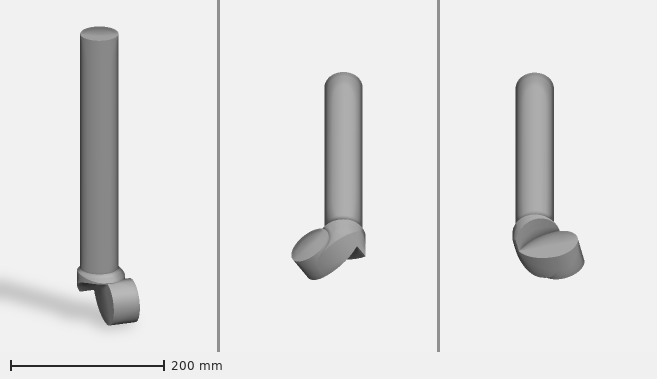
import cadquery as cq
import math

total_height = 398.0
tube_radius = 25.0
body_radius = 29.0
housing_offset = 29.02
housing_length = 36.0
dome_height = 3.22
shoulder_shift_x = 4.2
shoulder_shift_y = 3.4
tube_base_z = 69.0
collar_edge_z = 65.0
flare_slope = 1.35

housing_z = body_radius
elbow_radius = housing_offset + body_radius
elbow_rise = elbow_radius - body_radius
tip_x = housing_offset - math.sqrt(elbow_radius**2 - elbow_rise**2)
shoulder_reach_x = body_radius + shoulder_shift_x
shoulder_reach_y = body_radius + shoulder_shift_y
diagonal = math.sqrt(0.5)


def make_tube():
    """Plain round tube standing on the collar chamfer."""
    return cq.Workplane("XY").workplane(offset=tube_base_z).circle(tube_radius).extrude(
        total_height - tube_base_z
    )


def make_shoulder():
    """Upright body: round on the -X -Y side, widened towards +X and +Y, coned at the top."""
    corner_mid_x = shoulder_shift_x + body_radius * diagonal
    corner_mid_y = shoulder_shift_y + body_radius * diagonal
    outline = (
        cq.Workplane("XY")
        .moveTo(-body_radius, 0)
        .threePointArc((-body_radius * diagonal, -body_radius * diagonal), (0, -body_radius))
        .ellipseArc(shoulder_reach_x, body_radius, 270, 360, startAtCurrent=True)
        .lineTo(shoulder_reach_x, shoulder_shift_y)
        .threePointArc((corner_mid_x, corner_mid_y), (shoulder_shift_x, shoulder_reach_y))
        .lineTo(0, shoulder_reach_y)
        .ellipseArc(body_radius, shoulder_reach_y, 90, 180, startAtCurrent=True)
        .close()
        .extrude(tube_base_z)
    )
    flare_width = shoulder_shift_x + shoulder_shift_y
    flare_radius = body_radius + flare_width
    envelope = (
        cq.Workplane("XZ")
        .lineTo(flare_radius, 0)
        .lineTo(flare_radius, collar_edge_z - flare_width * flare_slope)
        .lineTo(body_radius, collar_edge_z)
        .lineTo(tube_radius, tube_base_z)
        .lineTo(0, tube_base_z)
        .close()
        .revolve(360, (0, 0, 0), (0, 1, 0))
    )
    return outline.intersect(envelope)


def make_teardrop(start_y, end_y):
    """Joint face outline (two elbow arcs and the round housing end) swept between two Y values."""
    mid_x = (tip_x + housing_offset) / 2
    mid_drop = math.sqrt(elbow_radius**2 - (housing_offset - mid_x) ** 2) - elbow_rise
    return (
        cq.Workplane("XZ", origin=(0, start_y, 0))
        .moveTo(tip_x, housing_z)
        .threePointArc((mid_x, housing_z - mid_drop), (housing_offset, housing_z - body_radius))
        .threePointArc(
            (housing_offset + body_radius, housing_z), (housing_offset, housing_z + body_radius)
        )
        .threePointArc((mid_x, housing_z + mid_drop), (tip_x, housing_z))
        .close()
        .extrude(start_y - end_y)
    )


def make_elbow():
    """Shoulder cut away outside the elbow arc and in front of the flat joint face."""
    arc_centre_z = housing_z + elbow_rise
    arc_mid_x = housing_offset - elbow_radius * diagonal
    arc_mid_z = arc_centre_z - elbow_radius * diagonal
    inside_elbow = (
        cq.Workplane("XZ")
        .moveTo(-body_radius, tube_base_z)
        .lineTo(-body_radius, arc_centre_z)
        .threePointArc((arc_mid_x, arc_mid_z), (housing_offset, 0))
        .lineTo(shoulder_reach_x, 0)
        .lineTo(shoulder_reach_x, tube_base_z)
        .close()
        .extrude(shoulder_reach_y, both=True)
    )
    below_housing_axis = cq.Workplane("XY").box(
        2 * shoulder_reach_x, 2 * shoulder_reach_y, housing_z, centered=(True, True, False)
    )
    behind_joint = make_teardrop(0, shoulder_reach_y)
    in_front_of_joint = make_teardrop(-body_radius, 0)
    elbow = make_shoulder().intersect(inside_elbow)
    return elbow.cut(below_housing_axis.cut(behind_joint)).cut(in_front_of_joint)


def make_housing():
    """Round cross housing along Y with a shallow domed cap."""
    dome_radius = (body_radius**2 + dome_height**2) / (2 * dome_height)
    mid_x = body_radius / 2
    mid_y = housing_length + dome_height - dome_radius + math.sqrt(dome_radius**2 - mid_x**2)
    return (
        cq.Workplane("XY", origin=(housing_offset, 0, housing_z))
        .lineTo(body_radius, 0)
        .lineTo(body_radius, housing_length)
        .threePointArc((mid_x, mid_y), (0, housing_length + dome_height))
        .close()
        .revolve(360, (0, 0, 0), (0, 1, 0))
    )


result = make_elbow().union(make_housing()).union(make_tube())